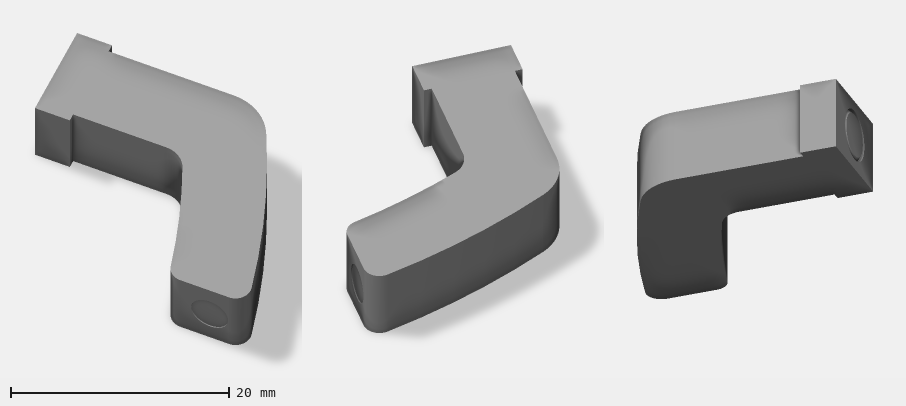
import cadquery as cq
import math

thickness = 7.0
tip_y = -17.5

head_length = 3.5
head_width = 9.5

neck_width = 8.0

leg_outer_radius = 75.0
leg_width = 7.75
leg_inner_radius = leg_outer_radius - leg_width
leg_center_x = -46.53
leg_center_y = -32.35

outer_elbow_radius = 5.0
inner_elbow_radius = 2.5
tip_corner_radius = 1.5

head_pocket_diameter = 5.0
head_disc_top_diameter = 4.2
head_groove_depth = (head_pocket_diameter - head_disc_top_diameter) / 2

tip_pocket_diameter = 3.7
tip_pocket_depth = 0.1
tip_pocket_x = 23.2


def leg_x(radius, y):
    """X of the leg arc of the given radius at height y."""
    return leg_center_x + math.sqrt(radius**2 - (y - leg_center_y) ** 2)


def leg_point(radius, y):
    return (leg_x(radius, y), y)


def make_head():
    return cq.Workplane("XY").center(head_length / 2, 0).rect(head_length, head_width).extrude(thickness)


def make_arm():
    """Neck and leg as one bent bar with rounded corners."""
    top_y = neck_width / 2
    bottom_y = -neck_width / 2
    outer_elbow = leg_point(leg_outer_radius, top_y)
    outer_tip = leg_point(leg_outer_radius, tip_y)
    inner_tip = leg_point(leg_inner_radius, tip_y)
    inner_elbow = leg_point(leg_inner_radius, bottom_y)
    outer_middle = leg_point(leg_outer_radius, (top_y + tip_y) / 2)
    inner_middle = leg_point(leg_inner_radius, (bottom_y + tip_y) / 2)
    plan = (
        cq.Workplane("XY")
        .moveTo(0, top_y)
        .lineTo(*outer_elbow)
        .threePointArc(outer_middle, outer_tip)
        .lineTo(*inner_tip)
        .threePointArc(inner_middle, inner_elbow)
        .lineTo(0, bottom_y)
        .close()
    )
    arm = plan.extrude(thickness)
    corners = (
        (outer_elbow, outer_elbow_radius),
        (inner_elbow, inner_elbow_radius),
        (outer_tip, tip_corner_radius),
        (inner_tip, tip_corner_radius),
    )
    for (x, y), radius in corners:
        corner_edge = cq.selectors.NearestToPointSelector((x, y, thickness / 2))
        arm = arm.edges("|Z").edges(corner_edge).fillet(radius)
    return arm


def make_head_groove():
    """Ring between the pocket wall and the chamfer of the disc inside it."""
    face = cq.Workplane("YZ", origin=(0, 0, thickness / 2))
    pocket = face.circle(head_pocket_diameter / 2).extrude(head_groove_depth)
    disc = cq.Workplane(
        cq.Solid.makeCone(
            head_disc_top_diameter / 2,
            head_pocket_diameter / 2,
            head_groove_depth,
            pnt=cq.Vector(0, 0, thickness / 2),
            dir=cq.Vector(1, 0, 0),
        )
    )
    return pocket.cut(disc)


def make_tip_pocket():
    face = cq.Workplane("XZ", origin=(tip_pocket_x, tip_y, thickness / 2))
    return face.circle(tip_pocket_diameter / 2).extrude(-tip_pocket_depth)


result = make_head().union(make_arm()).cut(make_head_groove()).cut(make_tip_pocket())